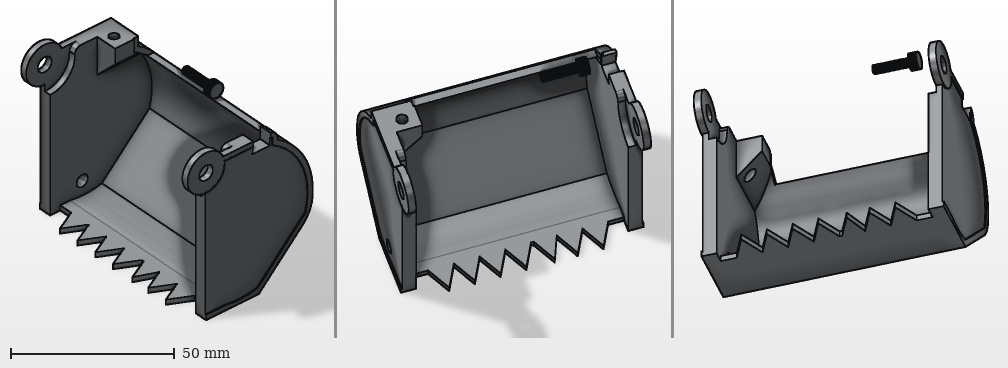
import cadquery as cq
import math

width = 78.0
top_z = 58.0
rim = 2.0
half = width / 2
side_wall = 4.9
wall_inner_x = half - side_wall
side_recess = 0.4

back_radius = 29.4
back_y = 43.05
back_center_z = 29.0
back_center_y = back_y - back_radius
inner_radius = back_radius - rim
back_corner_round = 14.05
slope_start_y = 21.2
inner_slope_start_y = slope_start_y - rim * math.sqrt(2)
step_y = 28.8
inner_step_y = step_y - rim
floor_z = 1.95
floor_flat_y = 8.0
floor_dip = (12.8, 1.5)
floor_end_y = 20.8

opening_min_x = -26.2
opening_max_x = 34.95
opening_z = 49.1

hinge_z = 55.1
eye_radius = 7.5
eye_thickness = 2.4
hinge_hole_diameter = 5.5
eye_clearance_radius = 10.0
flare_round = 2.5

block_front_y = 19.0
block_inner_x = -25.8
block_slope_top_z = 52.1
block_slope_bottom_z = block_slope_top_z - (block_inner_x + half)
block_hole_diameter = 3.5
block_hole_x = -31.05
block_hole_y = 23.1
notch_depth = 4.9
notch_length = 7.0
rear_round = 3.0

wall_hole_diameter = 4.5
wall_hole_y = 12.95
wall_hole_z = 7.0

tooth_pitch = 8.3
teeth_each_side = 3
tooth_root_y = 4.05
tooth_tip_y = -4.05
odd_tooth = 1
odd_tooth_shift = 0.85

screw_y = 15.45
screw_tip_x = 11.15
shank_length = 12.0
thread_diameter = 3.0
thread_root_diameter = 2.35
thread_pitch = 0.5
head_diameter = 5.5
head_height = 3.0
head_round = 0.2
screw_top_z = 74.4
screw_z = screw_top_z - head_diameter / 2
knurl_count = 36
knurl_width = 0.15
knurl_length = 2.65


def on_circle(radius, angle):
    """Point (Y, Z) on a circle around the centre of the curved back."""
    return (back_center_y + radius * math.cos(angle), back_center_z + radius * math.sin(angle))


def slope_angle(radius, start_y):
    """Angle at which the line Y = Z + start_y meets a circle around the back centre."""
    across = start_y - back_center_y + back_center_z
    return math.acos(across / (radius * math.sqrt(2))) - math.pi / 4


def step_angle(radius, y):
    """Angle at which the circle reaches the vertical face of the top step."""
    return math.acos((y - back_center_y) / radius)


def curved_back(outline, radius, slope_y, end_y):
    """Add the 45 degree underside and the round back to an outline, up to the step."""
    start = slope_angle(radius, slope_y)
    end = step_angle(radius, end_y)
    return (
        outline.lineTo(*on_circle(radius, start))
        .threePointArc(on_circle(radius, (start + end) / 2), on_circle(radius, end))
    )


def prism(outline, min_x, max_x):
    """Extrude a YZ outline between two X positions."""
    return outline.extrude(max_x - min_x).translate((min_x, 0, 0))


def side_slab(outline, side, inner_x, outer_x):
    """Extrude a YZ outline between two distances from the middle; side is -1 or +1 along X."""
    return prism(outline, *sorted((side * inner_x, side * outer_x)))


def yz_circle(y, z, radius):
    return cq.Workplane("YZ").center(y, z).circle(radius)


def box_between(x_range, y_range, z_range):
    size = [high - low for low, high in (x_range, y_range, z_range)]
    corner = (x_range[0], y_range[0], z_range[0])
    return cq.Workplane("XY").box(*size, centered=False).translate(corner)


def outer_outline():
    outline = cq.Workplane("YZ").lineTo(slope_start_y, 0)
    outline = curved_back(outline, back_radius, slope_start_y, step_y)
    return outline.lineTo(step_y, top_z).lineTo(0, top_z).close()


def inner_outline(roof_z):
    """Outline of the bucket interior, closed by a flat roof."""
    floor_end = (floor_end_y, floor_end_y - inner_slope_start_y)
    outline = cq.Workplane("YZ").moveTo(0, floor_z).lineTo(floor_flat_y, floor_z)
    outline = outline.threePointArc(floor_dip, floor_end)
    outline = curved_back(outline, inner_radius, inner_slope_start_y, inner_step_y)
    return outline.lineTo(inner_step_y, roof_z).lineTo(0, roof_z).close()


def make_shell():
    """Curved sheet over the full width, open at the front and along the top."""
    back_corner = on_circle(back_radius, slope_angle(back_radius, slope_start_y))
    shell = prism(outer_outline(), -half, half)
    shell = shell.edges(cq.NearestToPointSelector((0, *back_corner))).fillet(back_corner_round)
    shell = shell.cut(prism(inner_outline(top_z), -half, half))
    opening = box_between((opening_min_x, opening_max_x), (0, back_y), (opening_z, top_z))
    floor_front = box_between((-wall_inner_x, wall_inner_x), (0, tooth_root_y), (0, floor_z))
    return shell.cut(opening).cut(floor_front)


def make_side_wall(side):
    """Wall that closes one end of the shell."""
    return side_slab(inner_outline(top_z), side, wall_inner_x, half)


def make_side_recess(side):
    """Shallow outer pocket that leaves a rim around the side wall."""
    roof_z = top_z - rim
    return side_slab(inner_outline(roof_z), side, half - side_recess, half)


def make_eye(side):
    eye = yz_circle(0, hinge_z, eye_radius)
    return side_slab(eye, side, half - eye_thickness, half)


def make_hinge_hole(side):
    hole = yz_circle(0, hinge_z, hinge_hole_diameter / 2)
    return side_slab(hole, side, half - eye_thickness, half)


def top_round(center_y, radius, direction):
    """YZ arc midpoint of a quarter round that meets the top face at center_y."""
    reach = radius * math.sqrt(0.5)
    return (center_y + direction * reach, top_z - radius + reach)


def make_eye_clearance(side):
    """Round pocket beside the eye that flares out to the top face."""
    flare_z = top_z - flare_round
    flare_y = eye_clearance_radius + flare_round
    x_range = (wall_inner_x, half - eye_thickness)
    flare = (
        cq.Workplane("YZ").moveTo(0, flare_z).lineTo(eye_clearance_radius, flare_z)
        .threePointArc(top_round(flare_y, flare_round, -1), (flare_y, top_z))
        .lineTo(0, top_z).close()
    )
    pocket = side_slab(yz_circle(0, hinge_z, eye_clearance_radius), side, *x_range)
    return pocket.union(side_slab(flare, side, *x_range))


def make_corner_block():
    """Block on the -X wall with a 45 degree underside."""
    block = (
        cq.Workplane("XZ").moveTo(-half, top_z).lineTo(block_inner_x, top_z)
        .lineTo(block_inner_x, block_slope_top_z).lineTo(-half, block_slope_bottom_z).close()
        .extrude(-(back_y - block_front_y)).translate((0, block_front_y, 0))
    )
    return block.intersect(prism(inner_outline(top_z), -half, half))


def make_block_hole():
    hole = cq.Workplane("XY", origin=(block_hole_x, block_hole_y, top_z))
    return hole.circle(block_hole_diameter / 2).extrude(block_slope_bottom_z - top_z)


def make_latch_notch():
    """Square notch through the top of the +X wall."""
    return box_between(
        (wall_inner_x, half),
        (block_front_y, block_front_y + notch_length),
        (top_z - notch_depth, top_z),
    )


def make_rear_round():
    """Waste outside the rounded rear top edge of the +X wall."""
    center_y = step_y - rear_round
    waste = (
        cq.Workplane("YZ").moveTo(center_y, top_z)
        .threePointArc(top_round(center_y, rear_round, 1), (step_y, top_z - rear_round))
        .lineTo(step_y, top_z).close()
    )
    return prism(waste, wall_inner_x, half)


def make_tooth(index):
    """Triangular tooth on the floor edge; the odd one keeps its +X root in line."""
    shift = odd_tooth_shift if index == odd_tooth else 0
    tip_x = index * tooth_pitch + shift
    right_x = (index + 0.5) * tooth_pitch
    tooth = cq.Workplane("XY").moveTo(tip_x - tooth_pitch / 2, tooth_root_y)
    return tooth.lineTo(tip_x, tooth_tip_y).lineTo(right_x, tooth_root_y).close().extrude(floor_z)


def make_bucket():
    bucket = make_shell()
    for side in (-1, 1):
        bucket = bucket.union(make_side_wall(side))
        bucket = bucket.cut(make_side_recess(side)).union(make_eye(side))
        bucket = bucket.cut(make_hinge_hole(side)).cut(make_eye_clearance(side))
    bucket = bucket.union(make_corner_block().cut(make_side_recess(-1)))
    bucket = bucket.cut(make_block_hole())
    bucket = bucket.cut(make_latch_notch()).cut(make_rear_round())
    wall_hole = yz_circle(wall_hole_y, wall_hole_z, wall_hole_diameter / 2)
    bucket = bucket.cut(prism(wall_hole, -half, -wall_inner_x))
    for index in range(-teeth_each_side, teeth_each_side + 1):
        bucket = bucket.union(make_tooth(index))
    return bucket


def make_screw():
    """Screw lying along X: ringed shank with a chamfered tip and a knurled head."""
    root = thread_root_diameter / 2
    crest = thread_diameter / 2
    chamfer = crest - root
    outline = cq.Workplane("XY").lineTo(0, root).lineTo(chamfer, crest)
    turns = int((shank_length - chamfer) / thread_pitch)
    for turn in range(turns):
        crest_x = chamfer + turn * thread_pitch
        outline = outline.lineTo(crest_x + thread_pitch / 2, root)
        outline = outline.lineTo(crest_x + thread_pitch, crest)
    head_end = shank_length + head_height
    outline = (
        outline.lineTo(shank_length, crest).lineTo(shank_length, head_diameter / 2)
        .lineTo(head_end - head_round, head_diameter / 2)
        .radiusArc((head_end, head_diameter / 2 - head_round), head_round)
        .lineTo(head_end, 0).close()
    )
    screw = outline.revolve(360, (0, 0, 0), (1, 0, 0))
    knurls = (
        cq.Workplane("YZ", origin=(shank_length, 0, 0))
        .polarArray(head_diameter / 2, 0, 360, knurl_count)
        .rect(knurl_width, knurl_width).extrude(knurl_length)
    )
    return screw.cut(knurls).translate((screw_tip_x, screw_y, screw_z))


bucket = make_bucket()
screw = make_screw()
result = cq.Compound.makeCompound([bucket.val(), screw.val()])